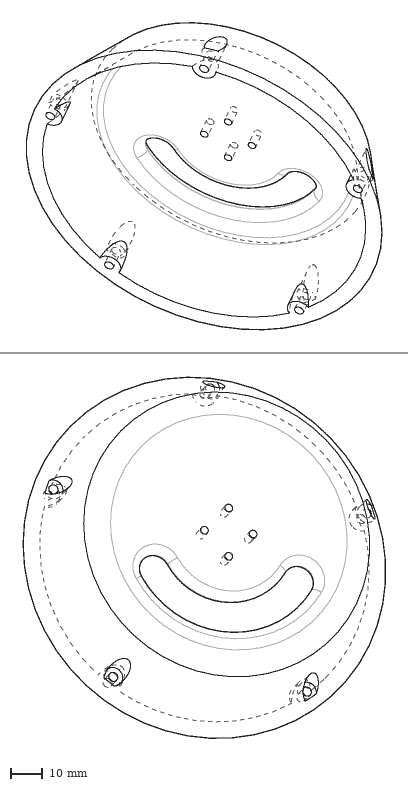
import cadquery as cq
import math

rim_radius = 60.0
height = 30.0
shoulder_radius = 47.3
shoulder_depth = 27.4
back_radius = 39.1

cavity_rim_radius = 54.5
floor_thickness = 6.0
floor_fillet = 2.0

screw_count = 5
screw_hole_diameter = 3.0
boss_radius = 4.0
boss_depth = 12.0
head_pocket_radius = 3.1
head_seat_depth = 7.0

center_hole_count = 4
center_hole_offset = 8.0
center_hole_diameter = 2.5

slot_radius = 27.5
slot_half_width = 5.0
slot_end_angle = 30.0
slot_front_fillet = 3.0
slot_back_fillet = 2.9

rim_y = -height / 2
cavity_depth = height - floor_thickness
wall_slope = (rim_radius - shoulder_radius) / shoulder_depth
cavity_floor_radius = cavity_rim_radius - wall_slope * cavity_depth


def plane_at(depth):
    """XZ plane at a depth behind the rim, with its normal along -Y."""
    return cq.Workplane("XZ", origin=(0, rim_y + depth, 0))


def revolve_profile(points):
    """Solid of revolution about Y from (radius, depth) points."""
    profile = [(radius, rim_y + depth) for radius, depth in points]
    return cq.Workplane("XY").polyline(profile).close().revolve(360, (0, 0, 0), (0, 1, 0))


def screw_places(workplane):
    return workplane.polarArray(cavity_rim_radius, 90, 360, screw_count)


def make_envelope():
    return revolve_profile(
        [(0, 0), (rim_radius, 0), (shoulder_radius, shoulder_depth), (back_radius, height), (0, height)]
    )


def make_cavity():
    cavity = revolve_profile(
        [(0, 0), (cavity_rim_radius, 0), (cavity_floor_radius, cavity_depth), (0, cavity_depth)]
    )
    return cavity.faces(">Y").edges().fillet(floor_fillet)


def make_slot():
    """Slot following an arc about the axis, with round ends."""
    inner = slot_radius - slot_half_width
    outer = slot_radius + slot_half_width
    cosine = math.cos(math.radians(slot_end_angle))
    sine = math.sin(math.radians(slot_end_angle))
    cap_x = slot_radius * cosine + slot_half_width * sine
    cap_z = -slot_radius * sine + slot_half_width * cosine
    return (
        plane_at(height)
        .moveTo(-outer * cosine, -outer * sine)
        .threePointArc((0, -outer), (outer * cosine, -outer * sine))
        .threePointArc((cap_x, cap_z), (inner * cosine, -inner * sine))
        .threePointArc((0, -inner), (-inner * cosine, -inner * sine))
        .threePointArc((-cap_x, cap_z), (-outer * cosine, -outer * sine))
        .close()
        .extrude(floor_thickness)
    )


def round_slot_edge(body, depth, fillet):
    """Round the slot's edge on the floor face at the given depth."""
    reach = slot_radius + slot_half_width + 1.2
    face_y = rim_y + depth
    slot_region = cq.selectors.BoxSelector(
        (-reach, face_y - 0.1, -reach), (reach, face_y + 0.1, -1.2), boundingbox=True
    )
    return body.edges(slot_region).fillet(fillet)


envelope = make_envelope()
shell = envelope.cut(make_cavity()).cut(make_slot())
shell = round_slot_edge(shell, cavity_depth, slot_front_fillet)
shell = round_slot_edge(shell, height, slot_back_fillet)

bosses = screw_places(plane_at(boss_depth)).circle(boss_radius).extrude(boss_depth)
result = shell.union(bosses.intersect(envelope))

screw_holes = screw_places(plane_at(height)).circle(screw_hole_diameter / 2).extrude(height)
head_pockets = (
    screw_places(plane_at(height)).circle(head_pocket_radius).extrude(height - head_seat_depth)
)
result = result.cut(screw_holes).cut(head_pockets)

center_holes = (
    plane_at(height)
    .polarArray(center_hole_offset, 0, 360, center_hole_count)
    .circle(center_hole_diameter / 2)
    .extrude(floor_thickness)
)
result = result.cut(center_holes)